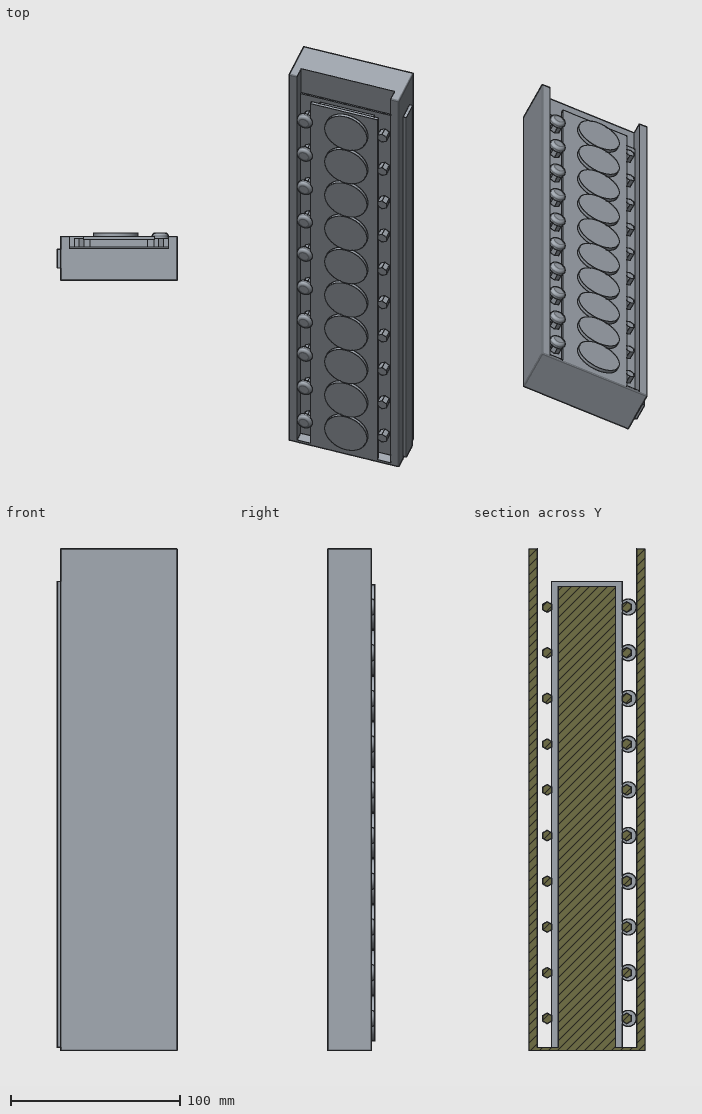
import cadquery as cq

body_width = 69.0
body_depth = 26.0
body_height = 296.5
edge_fillet = 0.5

rail_height = 2.0
rail_fillet = 0.5
rail_back_gap = 7.5
rail_width = 11.2
foot_margin = 2.0
head_margin = 19.3
run_length = body_height - foot_margin - head_margin

side_wall = 5.2
channel_depth = 7.2
channel_width = body_width - 2 * side_wall
channel_floor = body_depth - channel_depth
middle_x = body_width / 2

plate_width = 42.0
plate_thickness = 1.8
block_width = 34.0
block_setback = 3.0
base_thickness = 1.0

button_count = 10
button_diameter = 26.5
button_pitch = 27.0
button_x = 32.6
button_rise = 2.0
button_foot_gap = 5.8
lowest_button_z = button_foot_gap + button_diameter / 2
knob_diameter = 9.6
knob_x = 58.9
knob_fillet = 1.9
back_top = body_depth + button_rise

standoff_sides = 6
standoff_flats = 5.5
standoff_spacing = 47.0
standoff_recess = 1.2
standoff_top = body_depth - standoff_recess


def box(x, y, z, width, depth, height):
    """Box from its lowest corner and its X, Y and Z sizes."""
    return cq.Workplane("XY").box(width, depth, height, centered=False).translate((x, y, z))


def post_plane(x, y, z):
    """Workplane at a point, facing +Y."""
    return cq.Workplane(cq.Plane(origin=(x, y, z), xDir=(1, 0, 0), normal=(0, 1, 0)))


def disc(x, y_start, z, diameter):
    """Round post along +Y that ends at the top of the buttons."""
    return post_plane(x, y_start, z).circle(diameter / 2).extrude(back_top - y_start)


def make_body():
    body = box(0, 0, 0, body_width, body_depth, body_height)
    body = body.edges().fillet(edge_fillet)
    channel = box(side_wall, channel_floor, foot_margin, channel_width, channel_depth, body_height)
    return body.cut(channel)


def make_rail():
    rail_y = body_depth - rail_back_gap - rail_width
    rail = box(-rail_height, rail_y, foot_margin, rail_height + side_wall / 2, rail_width, run_length)
    return rail.faces("<X").edges("|Z").fillet(rail_fillet)


def make_carrier():
    plate_y = body_depth - plate_thickness
    plate = box(middle_x - plate_width / 2, plate_y, foot_margin, plate_width, plate_thickness, run_length)
    block_depth = plate_y - channel_floor
    block_height = run_length - block_setback
    block = box(middle_x - block_width / 2, channel_floor, foot_margin, block_width, block_depth, block_height)
    base = box(side_wall, channel_floor, foot_margin, channel_width, base_thickness, run_length)
    return base.union(block).union(plate)


def make_standoff(x, z):
    height = standoff_top - channel_floor
    hexagon = post_plane(x, channel_floor, z).polygon(standoff_sides, standoff_flats, circumscribed=True)
    return hexagon.extrude(height)


def make_row(z):
    """One button with its knob and its pair of standoffs, as a list of solids."""
    button = disc(button_x, body_depth - plate_thickness / 2, z, button_diameter)
    knob = disc(knob_x, standoff_top, z, knob_diameter).faces(">Y").edges().fillet(knob_fillet)
    half_spacing = standoff_spacing / 2
    left_standoff = make_standoff(middle_x - half_spacing, z)
    right_standoff = make_standoff(middle_x + half_spacing, z)
    return [left_standoff, right_standoff, button, knob]


result = make_body().union(make_rail()).union(make_carrier())
for index in range(button_count):
    for piece in make_row(lowest_button_z + index * button_pitch):
        result = result.union(piece)